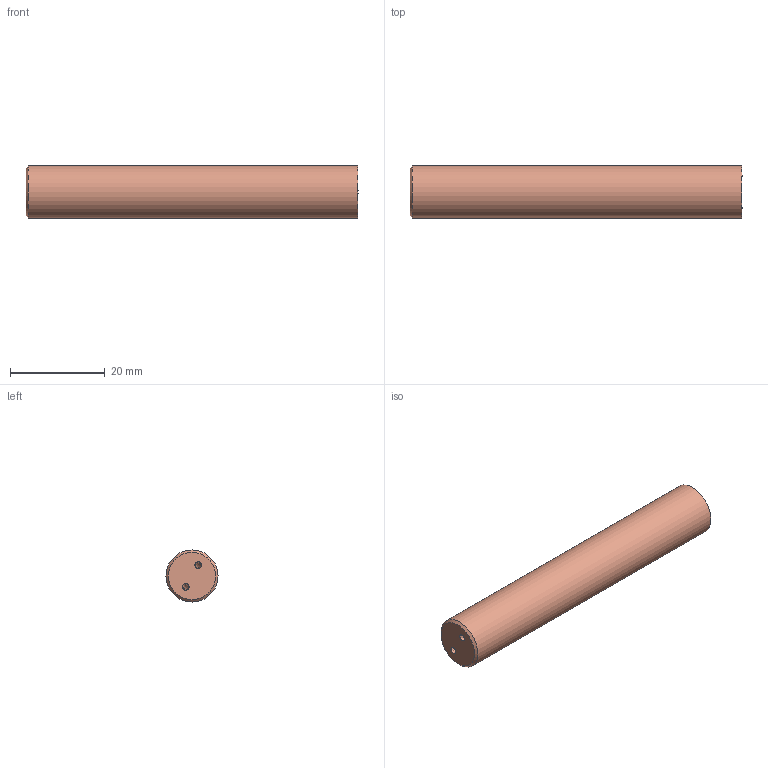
import cadquery as cq
import math

LENGTH = 70.0
DIAMETER = 11.0
CHAMFER = 0.5

DUCT_DIAMETER = 1.4
DUCT_SPACING = 5.3
DUCT_START_ANGLE = 120.0
HELIX_ANGLE = 30.0

END_X = -LENGTH / 2


def end_plane():
    """Workplane on the -X end face, with local x along +Y and local y along +Z."""
    return cq.Workplane("YZ", origin=(END_X, 0, 0))


def make_body():
    """Cylinder along X, chamfered at the -X end."""
    body = end_plane().circle(DIAMETER / 2).extrude(LENGTH)
    return body.faces("<X").chamfer(CHAMFER)


def make_ducts():
    """Two opposite helical ducts that run the full length."""
    pitch = math.pi * DIAMETER / math.tan(math.radians(HELIX_ANGLE))
    twist = 360 * LENGTH / pitch
    return (
        end_plane()
        .polarArray(DUCT_SPACING / 2, DUCT_START_ANGLE, 360, 2)
        .circle(DUCT_DIAMETER / 2)
        .twistExtrude(LENGTH, twist)
    )


result = make_body().cut(make_ducts())